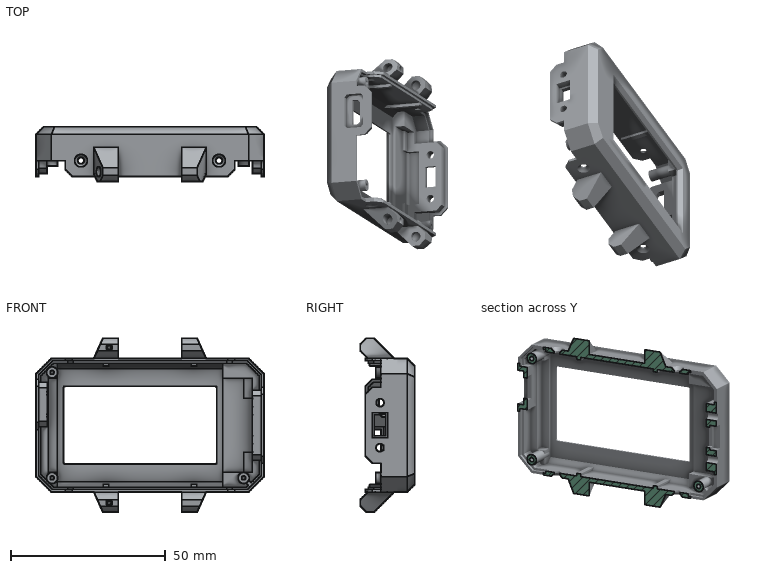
import cadquery as cq
import math


HALF_LENGTH = 36.85
HALF_HEIGHT = 21.6
CORNER = 5.0
BACK_BEVEL = 2.5
WALL = 1.6
RIM_DEPTH = 11.0
REBATE = 0.85
REBATE_DROP = 0.95

TAB_DEPTH = 16.1
TAB_BEVEL = 2.32
LONG_TAB_HALF = 27.45
SWITCH_TAB_HALF = 12.3
USB_TAB_HALF = 8.15
USB_CENTER_Z = 6.72

SCREEN_FLOOR = 1.8
BOARD_FLOOR = 2.8
END_FLOOR = 5.8
SCREEN_LEFT = -29.95
SCREEN_RIGHT = 23.56
SCREEN_BEVEL = 1.7
BOARD_LEFT = -32.8
BOARD_RIGHT = 33.1
BOARD_HALF_HEIGHT = 15.17
WINDOW_LEFT = -27.9
WINDOW_RIGHT = 21.56
WINDOW_HALF_HEIGHT = 12.53
WINDOW_RADIUS = 0.5
WINDOW_LIP = 0.6
WINDOW_BEVEL_ANGLE = 45

SWITCH_DEPTH = 11.3
SWITCH_BLOCK_FACE = 33.1
SWITCH_SLOT_DEPTH = 3.6
SWITCH_SLOT_HEIGHT = 6.8
SWITCH_RECESS = 2.35
SWITCH_RECESS_MARGIN = 0.65
SWITCH_SCREW_DIAMETER = 2.5
SWITCH_SCREW_Z = 7.27
RELIEF_HALF_HEIGHT = 8.75
RELIEF_WALL_X = 34.8
RELIEF_BEVEL = 0.8
RELIEF_TOP = 7.5
POST_WIDTH = 2.75
POST_TOP = 3.6

USB_BLOCK_FACE = -33.2
USB_DEPTH = 10.15
USB_SLOT_DEPTH = 2.8
USB_SLOT_HEIGHT = 8.06
USB_PLUG_DEPTH = 6.45
USB_PLUG_HEIGHT = 11.15
USB_PLUG_RECESS = 2.25
USB_CORNER = 0.87

STANDOFF_DIAMETER = 3.6
STANDOFF_HOLE = 1.3
STANDOFF_TOP = 12.75
STANDOFF_Z = 17.04
STANDOFF_LEFT_X = -31.62
STANDOFF_RIGHT_X = 30.25
WEB_WIDTH = 1.25
WEB_LENGTH = 3.6
WEB_ANGLE = 45

RIB_X = 14.2
RIB_WIDTH = 1.65
RIB_HEIGHT = 0.9
RIB_TOP = 14.75
RIB_FILLET = 0.5

SCREW_X = 22.3
SCREW_DEPTH = 10.95
SCREW_DIAMETER = 2.0
SCREW_HEAD_DIAMETER = 4.1

LUG_INNER_X = 10.25
LUG_TIP_X = 15.25
LUG_ROOT_X = 18.15
LUG_TIP_Z = 28.1
LUG_END_DEPTH = 17.75
LUG_BEVEL = 2.0
LUG_TIP_DEPTH = 13.2
PIN_DIAMETER = 3.2
PIN_DEPTH = 14.5
PIN_Z = 25.1
PIN_DOME = 0.8
RIGHT_PIN_LENGTH = 1.5
SET_SCREW_X = -13.18
SET_SCREW_HEAD = 2.0
SET_SCREW_DIAMETER = 1.3
SET_SCREW_HEAD_LENGTH = 0.8

CORNER_SHRINK = 2 - math.sqrt(2)


def plane_at(depth):
    """Plane across the housing: local x is X, local y is Z, extruding towards the open side."""
    return cq.Workplane("XZ", origin=(0, -depth, 0))


def block(x0, x1, depth0, depth1, z0, z1):
    center = ((x0 + x1) / 2, (z0 + z1) / 2)
    return plane_at(depth0).center(*center).rect(x1 - x0, z1 - z0).extrude(depth1 - depth0)


def along_x(points, x0, x1):
    """Prism along X from (depth, Z) points."""
    outline = [(-depth, z) for depth, z in points]
    return cq.Workplane("YZ", origin=(x0, 0, 0)).polyline(outline).close().extrude(x1 - x0)


def along_z(points, z0, z1):
    """Prism along Z from (X, depth) points."""
    outline = [(x, -depth) for x, depth in points]
    return cq.Workplane("XY", origin=(0, 0, z0)).polyline(outline).close().extrude(z1 - z0)


def rod(diameter, x, z, depth0, depth1):
    return plane_at(depth0).center(x, z).circle(diameter / 2).extrude(depth1 - depth0)


def rod_along_x(diameter, depth, z, x0, x1):
    return cq.Workplane("YZ", origin=(x0, 0, 0)).center(-depth, z).circle(diameter / 2).extrude(x1 - x0)


def octagon(inset, depth0, depth1):
    """Shell outline, moved inwards by the inset."""
    x = HALF_LENGTH - inset
    z = HALF_HEIGHT - inset
    leg = CORNER - inset * CORNER_SHRINK
    points = [
        (x, leg - z), (x, z - leg), (x - leg, z), (leg - x, z),
        (-x, z - leg), (-x, leg - z), (leg - x, -z), (x - leg, -z),
    ]
    return plane_at(depth0).polyline(points).close().extrude(depth1 - depth0)


def tab_outline(center, half_width, setback):
    """Bevelled tab as (position along the wall, depth) points."""
    half = half_width - setback
    end = TAB_DEPTH - setback
    bevel = TAB_BEVEL - setback * CORNER_SHRINK
    return [
        (center - half, END_FLOOR), (center - half, end - bevel), (center - half + bevel, end),
        (center + half - bevel, end), (center + half, end - bevel), (center + half, END_FLOOR),
    ]


def side_tab(center, half_width, setback, x0, x1):
    points = [(depth, z) for z, depth in tab_outline(center, half_width, setback)]
    return along_x(points, x0, x1)


def make_wall_layer(inset, thickness, setback):
    """One layer of the walls, cut to the rim and the tabs, both lowered by the setback."""
    ring = octagon(inset, END_FLOOR, TAB_DEPTH).cut(octagon(inset + thickness, END_FLOOR, TAB_DEPTH))
    kept = octagon(0, END_FLOOR, RIM_DEPTH - setback)
    kept = kept.union(along_z(tab_outline(0, LONG_TAB_HALF, setback), -HALF_HEIGHT, HALF_HEIGHT))
    kept = kept.union(side_tab(0, SWITCH_TAB_HALF, setback, 0, HALF_LENGTH))
    kept = kept.union(side_tab(USB_CENTER_Z, USB_TAB_HALF, setback, -HALF_LENGTH, 0))
    return ring.intersect(kept)


def make_shell():
    shell = octagon(0, 0, RIM_DEPTH - REBATE_DROP).faces(">Y").edges().chamfer(BACK_BEVEL)
    shell = shell.cut(octagon(WALL, END_FLOOR, RIM_DEPTH))
    shell = shell.union(make_wall_layer(0, REBATE, 0))
    return shell.union(make_wall_layer(REBATE, WALL - REBATE, REBATE_DROP))


def cut_floor(body):
    wall_z = HALF_HEIGHT - WALL
    floor_z = wall_z - SCREEN_BEVEL
    bevel_top = SCREEN_FLOOR + SCREEN_BEVEL
    screen = [
        (SCREEN_FLOOR, -floor_z), (bevel_top, -wall_z), (END_FLOOR, -wall_z),
        (END_FLOOR, wall_z), (bevel_top, wall_z), (SCREEN_FLOOR, floor_z),
    ]
    body = body.cut(along_x(screen, SCREEN_LEFT, SCREEN_RIGHT))
    body = body.cut(
        block(BOARD_LEFT, BOARD_RIGHT, BOARD_FLOOR, END_FLOOR, -BOARD_HALF_HEIGHT, BOARD_HALF_HEIGHT)
    )
    window = block(WINDOW_LEFT, WINDOW_RIGHT, 0, SCREEN_FLOOR, -WINDOW_HALF_HEIGHT, WINDOW_HALF_HEIGHT)
    body = body.cut(window.edges("|Y").fillet(WINDOW_RADIUS))
    bevel = SCREEN_FLOOR - WINDOW_LIP
    center_x = (WINDOW_LEFT + WINDOW_RIGHT) / 2
    width = WINDOW_RIGHT - WINDOW_LEFT + 2 * bevel
    height = 2 * (WINDOW_HALF_HEIGHT + bevel)
    flare = plane_at(0).center(center_x, 0).rect(width, height).extrude(bevel, taper=WINDOW_BEVEL_ANGLE)
    return body.cut(flare)


def switch_opening(margin, x0):
    """Slot for the switch lever, widened by the margin, from x0 to the outside."""
    half_depth = SWITCH_SLOT_DEPTH / 2 + margin
    half_height = SWITCH_SLOT_HEIGHT / 2 + margin
    return block(
        x0, HALF_LENGTH, SWITCH_DEPTH - half_depth, SWITCH_DEPTH + half_depth,
        -half_height, half_height,
    )


def add_switch_mount(body):
    outer_x = HALF_LENGTH - REBATE
    body = body.union(side_tab(0, SWITCH_TAB_HALF, REBATE_DROP, SWITCH_BLOCK_FACE, outer_x))
    relief = [
        (BOARD_RIGHT, BOARD_FLOOR), (RELIEF_WALL_X - RELIEF_BEVEL, BOARD_FLOOR),
        (RELIEF_WALL_X, BOARD_FLOOR + RELIEF_BEVEL), (RELIEF_WALL_X, RELIEF_TOP),
        (BOARD_RIGHT, RELIEF_TOP),
    ]
    body = body.cut(along_z(relief, -RELIEF_HALF_HEIGHT, RELIEF_HALF_HEIGHT))
    for z0, z1 in ((RELIEF_HALF_HEIGHT, BOARD_HALF_HEIGHT), (-BOARD_HALF_HEIGHT, -RELIEF_HALF_HEIGHT)):
        body = body.union(block(BOARD_RIGHT - POST_WIDTH, BOARD_RIGHT, BOARD_FLOOR, POST_TOP, z0, z1))
    body = body.cut(switch_opening(0, SWITCH_BLOCK_FACE))
    body = body.cut(switch_opening(SWITCH_RECESS_MARGIN, HALF_LENGTH - SWITCH_RECESS))
    for z in (-SWITCH_SCREW_Z, SWITCH_SCREW_Z):
        screw = rod_along_x(SWITCH_SCREW_DIAMETER, SWITCH_DEPTH, z, SWITCH_BLOCK_FACE, HALF_LENGTH)
        body = body.cut(screw)
    return body


def usb_opening(depth_size, height, x0, x1, beveled_edges):
    opening = block(
        x0, x1, USB_DEPTH - depth_size / 2, USB_DEPTH + depth_size / 2,
        USB_CENTER_Z - height / 2, USB_CENTER_Z + height / 2,
    )
    return opening.edges(beveled_edges).chamfer(USB_CORNER)


def add_usb_socket(body):
    body = body.union(side_tab(USB_CENTER_Z, USB_TAB_HALF, REBATE_DROP, REBATE - HALF_LENGTH, USB_BLOCK_FACE))
    plug_x = USB_PLUG_RECESS - HALF_LENGTH
    body = body.cut(usb_opening(USB_PLUG_DEPTH, USB_PLUG_HEIGHT, -HALF_LENGTH, plug_x, "|X"))
    return body.cut(usb_opening(USB_SLOT_DEPTH, USB_SLOT_HEIGHT, plug_x, USB_BLOCK_FACE, "|X and <Y"))


def add_standoffs(body):
    web = block(0, WEB_LENGTH, END_FLOOR, RIM_DEPTH - REBATE_DROP, -WEB_WIDTH / 2, WEB_WIDTH / 2)
    web = web.rotate((0, 0, 0), (0, 1, 0), WEB_ANGLE).translate((STANDOFF_RIGHT_X, 0, -STANDOFF_Z))
    body = body.union(web)
    places = (
        (STANDOFF_LEFT_X, STANDOFF_Z), (STANDOFF_LEFT_X, -STANDOFF_Z), (STANDOFF_RIGHT_X, -STANDOFF_Z),
    )
    for x, z in places:
        body = body.union(rod(STANDOFF_DIAMETER, x, z, BOARD_FLOOR, STANDOFF_TOP))
        body = body.cut(rod(STANDOFF_HOLE, x, z, END_FLOOR, STANDOFF_TOP))
    return body


def add_ribs(body):
    wall_z = HALF_HEIGHT - WALL
    start = SCREEN_FLOOR + SCREEN_BEVEL / 2
    rib = block(
        -RIB_WIDTH / 2, RIB_WIDTH / 2, start, RIB_TOP, wall_z - RIB_HEIGHT, wall_z + WALL / 2,
    )
    rib = rib.edges("|X and <Y and <Z").fillet(RIB_FILLET)
    for x in (-RIB_X, RIB_X):
        placed = rib.translate((x, 0, 0))
        body = body.union(placed).union(placed.mirror("XY"))
    return body


def cut_wall_screws(body):
    head_radius = SCREW_HEAD_DIAMETER / 2
    hole_radius = SCREW_DIAMETER / 2
    section = [
        (0, HALF_HEIGHT), (head_radius, HALF_HEIGHT), (hole_radius, HALF_HEIGHT - head_radius + hole_radius),
        (hole_radius, HALF_HEIGHT - WALL), (0, HALF_HEIGHT - WALL),
    ]
    screw = plane_at(0).polyline(section).close().revolve(360, (0, 0), (0, 1))
    for x in (-SCREW_X, SCREW_X):
        hole = screw.translate((x, -SCREW_DEPTH, 0))
        body = body.cut(hole).cut(hole.mirror("XY"))
    return body


def make_lug(side):
    """Upper lug on the -X (side -1) or +X (side 1) half."""
    root_z = HALF_HEIGHT
    height = LUG_TIP_Z - root_z
    undercut_z = LUG_TIP_Z - 2 * LUG_BEVEL
    profile = [
        (LUG_TIP_DEPTH - height, root_z), (LUG_TIP_DEPTH, LUG_TIP_Z),
        (LUG_END_DEPTH - LUG_BEVEL, LUG_TIP_Z), (LUG_END_DEPTH, LUG_TIP_Z - LUG_BEVEL),
        (LUG_END_DEPTH, undercut_z), (LUG_END_DEPTH - (undercut_z - root_z), root_z),
    ]
    taper = [
        (side * LUG_INNER_X, root_z), (side * LUG_INNER_X, LUG_TIP_Z),
        (side * LUG_TIP_X, LUG_TIP_Z), (side * LUG_ROOT_X, root_z),
    ]
    lug = along_x(profile, -LUG_ROOT_X, LUG_ROOT_X)
    return lug.intersect(plane_at(0).polyline(taper).close().extrude(LUG_END_DEPTH))


def pin_hole(x0, x1):
    """Blind pin hole along X with a shallow domed end beyond x1."""
    radius = PIN_DIAMETER / 2
    dome_radius = (radius**2 + PIN_DOME**2) / (2 * PIN_DOME)
    section = cq.Workplane("XY").moveTo(x0, 0).lineTo(x0, radius).lineTo(x1, radius)
    section = section.radiusArc((x1 + PIN_DOME, 0), dome_radius).close()
    return section.revolve(360, (0, 0), (1, 0)).translate((0, -PIN_DEPTH, PIN_Z))


def add_lugs(body):
    left_pin_end = SET_SCREW_X + SET_SCREW_DIAMETER / 2
    left = make_lug(-1).cut(pin_hole(-LUG_ROOT_X, left_pin_end))
    head_bottom = LUG_END_DEPTH - SET_SCREW_HEAD_LENGTH
    left = left.cut(rod(SET_SCREW_HEAD, SET_SCREW_X, PIN_Z, head_bottom, LUG_END_DEPTH))
    left = left.cut(rod(SET_SCREW_DIAMETER, SET_SCREW_X, PIN_Z, PIN_DEPTH, LUG_END_DEPTH))
    right = make_lug(1)
    right_pin_end = LUG_INNER_X + RIGHT_PIN_LENGTH
    right = right.cut(pin_hole(LUG_INNER_X, right_pin_end))
    for lug in (left, right):
        body = body.union(lug).union(lug.mirror("XY"))
    return body


result = make_shell()
result = cut_floor(result)
result = add_switch_mount(result)
result = add_usb_socket(result)
result = add_standoffs(result)
result = add_ribs(result)
result = cut_wall_screws(result)
result = add_lugs(result)